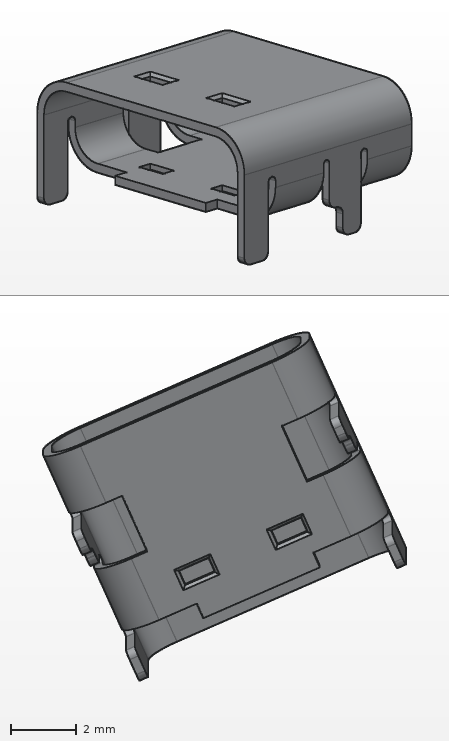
import cadquery as cq

width = 8.94
depth = 7.3
height = 4.2
sheet = 0.295
shell_height = 3.21
bend_radius = 1.25

rear_slot = (1.57, 0.28)
middle_slot = (-0.07, 0.24)
front_slot = (-2.45, 0.31)
slot_top = 1.59

foot_round = 0.27
step_y = 0.64
ledge_inner_round = 0.27
ledge_outer_round = 0.3

floor_cut_half_width = 2.68
tongue_half_width = 1.96
tongue_length = 0.5

window_spacing = 3.1
window_setback = 2.25
window_length = 1.0
window_width = 0.48
window_chamfer = 0.11

top_z = height
floor_z = top_z - shell_height
roof_bend_z = top_z - bend_radius
floor_bend_z = floor_z + bend_radius
front_y = -depth / 2


def slot_front(slot):
    return slot[0] - slot[1] / 2


def slot_rear(slot):
    return slot[0] + slot[1] / 2


def box(x_range, y_range, z_range):
    """Block spanning the given ranges."""
    size = [high - low for low, high in (x_range, y_range, z_range)]
    corner = (x_range[0], y_range[0], z_range[0])
    return cq.Workplane("XY").box(*size, centered=False).translate(corner)


def rounded_bar(bar_width, bar_height, radius):
    """Bar along Y with all four long edges rounded."""
    return (
        cq.Workplane("XY")
        .box(bar_width, depth, bar_height)
        .edges("|Y")
        .fillet(radius)
        .translate((0, 0, floor_z + shell_height / 2))
    )


def make_sleeve():
    outer = rounded_bar(width, shell_height, bend_radius)
    inner = rounded_bar(width - 2 * sheet, shell_height - 2 * sheet, bend_radius - sheet)
    return outer.cut(inner)


def on_both_sides(solid):
    """The solid together with its mirror image across X = 0."""
    return solid.union(solid.mirror("YZ"))


def lower_corner_cut(inner_x, rear_y, front_edge_y):
    """Blocks that remove the lower bends, leaving the floor within inner_x."""
    return on_both_sides(box((inner_x, width / 2), (front_edge_y, rear_y), (0, floor_bend_z)))


def make_floor_cuts():
    floor_front = slot_rear(front_slot)
    middle = lower_corner_cut(floor_cut_half_width, slot_rear(rear_slot), slot_front(middle_slot))
    front = lower_corner_cut(tongue_half_width, floor_front, front_y)
    floor_zone = (0, floor_bend_z)
    ahead_of_tongue = box((-width / 2, width / 2), (front_y, floor_front - tongue_length), floor_zone)
    return middle.union(front).union(ahead_of_tongue)


def round_edge(solid, y, z, radius):
    """Round the X-direction edge at the given Y and Z."""
    reach = 0.001
    selector = cq.selectors.BoxSelector(
        (-width, y - reach, z - reach), (width, y + reach, z + reach)
    )
    return solid.edges("|X").edges(selector).fillet(radius)


def make_front_leg():
    rear_y = slot_front(front_slot)
    leg = box((width / 2 - sheet, width / 2), (front_y, rear_y), (0, roof_bend_z))
    for y in (front_y, rear_y):
        leg = round_edge(leg, y, 0, foot_round)
    return leg


def make_middle_leg():
    rear_y = slot_front(rear_slot)
    ledge_y = slot_rear(middle_slot)
    wall = (width / 2 - sheet, width / 2)
    leg = box(wall, (ledge_y, rear_y), (floor_z, roof_bend_z))
    leg = leg.union(box(wall, (step_y, rear_y), (0, roof_bend_z))).clean()
    for y in (step_y, rear_y):
        leg = round_edge(leg, y, 0, foot_round)
    leg = round_edge(leg, step_y, floor_z, ledge_inner_round)
    return round_edge(leg, ledge_y, floor_z, ledge_outer_round)


def make_slot_ends():
    """Round-topped openings in the side walls above the floor cuts."""
    ends = cq.Workplane("XY")
    for centre_y, slot_width in (rear_slot, middle_slot, front_slot):
        cap_z = top_z - slot_top - slot_width / 2
        bar = box(
            (-width / 2, width / 2),
            (centre_y - slot_width / 2, centre_y + slot_width / 2),
            (floor_bend_z, cap_z),
        )
        cap = (
            cq.Workplane("YZ")
            .center(centre_y, cap_z)
            .circle(slot_width / 2)
            .extrude(width / 2, both=True)
        )
        ends = ends.union(bar.union(cap))
    return ends


def make_windows():
    """Windows through roof and floor, chamfered on the outer faces."""
    shaft = box(
        (-window_length / 2, window_length / 2),
        (-window_width / 2, window_width / 2),
        (floor_z, top_z),
    )
    flare = (
        cq.Workplane("XY", origin=(0, 0, top_z))
        .rect(window_length + 2 * window_chamfer, window_width + 2 * window_chamfer)
        .workplane(offset=-window_chamfer)
        .rect(window_length, window_width)
        .loft(combine=True)
    )
    sleeve_middle_z = floor_z + shell_height / 2
    lower_flare = flare.mirror("XY", (0, 0, sleeve_middle_z))
    window = shaft.union(flare).union(lower_flare)
    window = window.translate((window_spacing / 2, front_y + window_setback, 0))
    return on_both_sides(window)


result = (
    make_sleeve()
    .cut(make_floor_cuts())
    .union(on_both_sides(make_front_leg()))
    .union(on_both_sides(make_middle_leg()))
    .cut(make_slot_ends())
    .cut(make_windows())
    .clean()
)